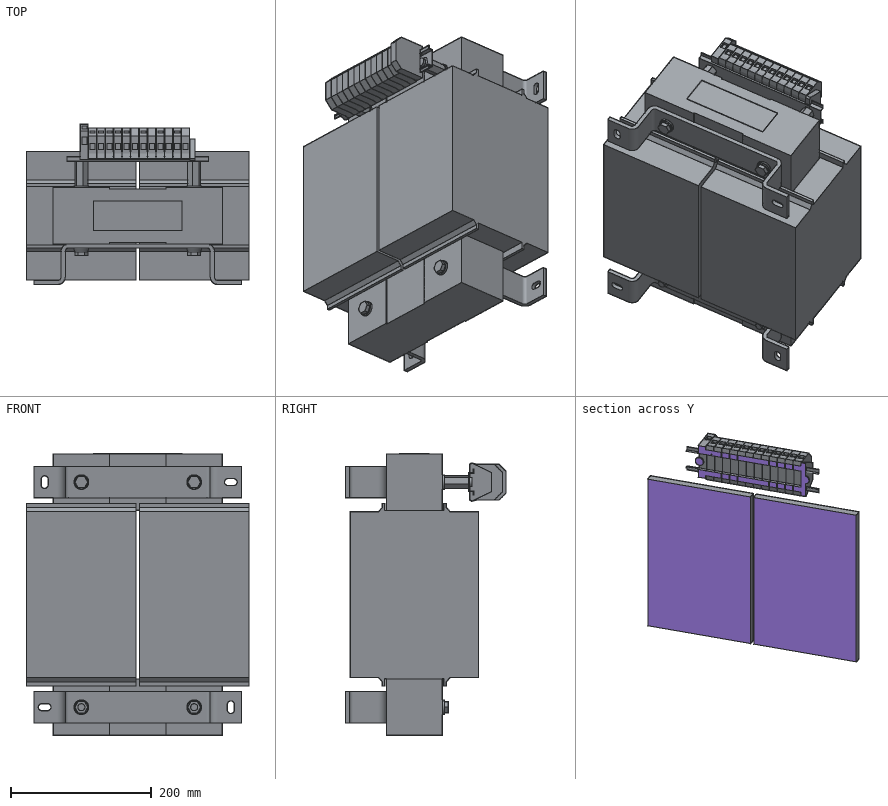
import cadquery as cq


core_width = 240.0
core_height = 399.2
core_depth = 79.5
yoke_height = 80.0
limb_width = 80.0
cover_thickness = 1.8
core_face = core_depth / 2
core_middle = core_height / 2
yoke_middles = {"bottom": yoke_height / 2, "top": core_height - yoke_height / 2}

label_width = 125.0
label_depth = 41.5
label_thickness = 1.0

coils_width = 316.0
coil_gap = 4.5
coil_depth = 182.5
coil_height = 235.2
rim_height = 259.2
rim_inner = 41.5
rim_outer = 45.5
rim_foot = 51.0
rim_bend_height = 247.2

bracket_height = 45.0
bracket_thickness = 6.0
bracket_width = 295.0
bracket_leg_width = 205.5
bracket_front = -97.5
bend_inside = 5.0
bend_outside = bend_inside + bracket_thickness
slot_spacing = 264.0
slot_length = 17.5
slot_width = 9.5

screw_spacing = 160.0
washer_diameter = 21.0
washer_thickness = 3.0
lock_washer_diameter = 19.2
lock_washer_thickness = 2.5
hex_corner_diameter = 18.5
standoff_corner_diameter = 19.2
head_height = 5.5
stud_diameter = 10.0
stud_projection = 6.0

standoff_turn = 15.0
rail_length = 200.0
rail_back = 84.5
rail_front = 77.0
rail_gauge = 1.2
rail_web_height = 27.2
rail_flange_height = 37.0
rail_screw_diameter = 13.0
rail_screw_height = 3.5

terminal_count = 12
terminal_pitch = 12.0
terminal_start = -70.0
terminal_half_height = 25.5
terminal_gap = 0.5
terminal_front = 80.0
terminal_back = 125.0
terminal_back_chamfer = 11.5
terminal_ridge = 81.2
terminal_ridge_rise = 1.8
terminal_ridge_foot = 88.0
terminal_shoulder_height = 19.5
labelled_terminals = (0, 1, 2, 3, 4, 6, 8, 10)

end_block_width = 11.5
end_block_back = 130.0
end_block_chamfer = 10.0

clamp_width = 7.2
clamp_back = 109.2
clamp_back_half_height = 13.5
clamp_peak = 81.2
clamp_peak_half_height = 27.2
clamp_front = 78.5
clamp_front_half_height = 25.5

opening_margin = 2.5
opening_width = 7.2
opening_length = 9.0
opening_middle = 98.5
marker_length = 3.2
marker_middle = 119.0
end_opening_length = 10.0
end_opening_middle = 106.5
end_marker_length = 4.5
end_marker_middle = 125.2
recess_depth = 4.0


def box(x_range, y_range, z_range):
    """Box between pairs of limits."""
    sizes = [high - low for low, high in (x_range, y_range, z_range)]
    corner = (x_range[0], y_range[0], z_range[0])
    return cq.Workplane("XY").box(*sizes, centered=False).translate(corner)


def prism_along_x(points, x_start, length):
    """Closed (Y, Z) outline extruded towards +X."""
    return cq.Workplane("YZ", origin=(x_start, 0, 0)).polyline(points).close().extrude(length)


def mirrored_outline(upper_points, z_middle):
    """Outline from (Y, height) points and their reflection below z_middle."""
    upper = [(y, z_middle + height) for y, height in upper_points]
    lower = [(y, z_middle - height) for y, height in reversed(upper_points)]
    return upper + lower


def cylinder_along_y(diameter, x, z, y_start, y_end):
    plane = cq.Plane(origin=(x, y_start, z), xDir=(1, 0, 0), normal=(0, 1, 0))
    return cq.Workplane(plane).circle(diameter / 2).extrude(y_end - y_start)


def hexagon_along_y(corner_diameter, x, z, y_start, y_end, turn=0.0):
    hexagon = (
        cq.Workplane("XZ")
        .polygon(6, corner_diameter)
        .extrude(-(y_end - y_start))
        .rotate((0, 0, 0), (0, 1, 0), turn)
    )
    return hexagon.translate((x, y_start, z))


def make_core():
    half_width = core_width / 2
    laminations = core_face - cover_thickness
    window = (-half_width + limb_width, half_width - limb_width)
    core = box((-half_width, half_width), (-laminations, laminations), (0, core_height))
    for side in (-1, 1):
        limb = sorted((side * half_width, side * (half_width - limb_width)))
        core = core.union(box(limb, (-core_face, core_face), (0, core_height)))
    core = core.cut(box(window, (-core_depth, core_depth), (yoke_height, core_height - yoke_height)))
    label = box(
        (-label_width / 2, label_width / 2),
        (-label_depth / 2, label_depth / 2),
        (core_height, core_height + label_thickness),
    )
    return core.union(label)


def make_coils():
    channel_floor = core_middle - yoke_height
    right_half = [
        (rim_inner, channel_floor),
        (rim_inner, rim_height / 2),
        (rim_outer, rim_height / 2),
        (rim_outer, rim_bend_height / 2),
        (rim_foot, coil_height / 2),
        (coil_depth / 2, coil_height / 2),
    ]
    left_half = [(-y, height) for y, height in reversed(right_half)]
    outline = mirrored_outline(left_half + right_half, core_middle)
    coil_width = (coils_width - coil_gap) / 2
    left = prism_along_x(outline, -coils_width / 2, coil_width)
    return left.union(prism_along_x(outline, coil_gap / 2, coil_width))


def make_bracket(z_middle, upright_slot_side):
    web_back = -core_face
    web_front = web_back - bracket_thickness
    foot_back = bracket_front + bracket_thickness
    leg_inner = bracket_leg_width / 2
    leg_outer = leg_inner + bracket_thickness
    foot_end = bracket_width / 2
    z_bottom = z_middle - bracket_height / 2
    z_range = (z_bottom, z_bottom + bracket_height)

    bracket = box((-leg_outer, leg_outer), (web_front, web_back), z_range)
    for side in (-1, 1):
        leg = sorted((side * leg_inner, side * leg_outer))
        foot = sorted((side * leg_inner, side * foot_end))
        bracket = bracket.union(box(leg, (bracket_front, web_back), z_range))
        bracket = bracket.union(box(foot, (bracket_front, foot_back), z_range))

    def bend_edges(x, y):
        """Selects the two upright edges at X = x and X = -x."""
        reach = 0.05
        selector = None
        for side in (-1, 1):
            near = (side * x - reach, y - reach, z_range[0] - reach)
            far = (side * x + reach, y + reach, z_range[1] + reach)
            picked = cq.selectors.BoxSelector(near, far, boundingbox=True)
            selector = picked if selector is None else selector + picked
        return selector

    bracket = bracket.edges(bend_edges(leg_outer, web_back)).fillet(bend_outside)
    bracket = bracket.edges(bend_edges(leg_inner, bracket_front)).fillet(bend_outside)
    bracket = bracket.edges(bend_edges(leg_inner, web_front)).fillet(bend_inside)
    bracket = bracket.edges(bend_edges(leg_outer, foot_back)).fillet(bend_inside)

    for side in (-1, 1):
        angle = 90 if side == upright_slot_side else 0
        slot = (
            cq.Workplane("XZ", origin=(side * slot_spacing / 2, foot_back, z_middle))
            .slot2D(slot_length, slot_width, angle)
            .extrude(bracket_thickness)
        )
        bracket = bracket.cut(slot)
    return bracket


def make_front_fastener(side, z, with_stud):
    """Two washers and a hexagon against a bracket; a stud end shows where the hexagon is a nut."""
    x = side * screw_spacing / 2
    seat = -core_face - bracket_thickness
    washer_face = seat - washer_thickness
    lock_face = washer_face - lock_washer_thickness
    head_face = lock_face - head_height
    fastener = cylinder_along_y(washer_diameter, x, z, washer_face, seat)
    fastener = fastener.union(cylinder_along_y(lock_washer_diameter, x, z, lock_face, washer_face))
    fastener = fastener.union(hexagon_along_y(hex_corner_diameter, x, z, head_face, lock_face))
    if with_stud:
        stud_end = head_face - stud_projection
        fastener = fastener.union(cylinder_along_y(stud_diameter, x, z, stud_end, head_face))
    return fastener


def make_rear_fastener(side, z, corner_diameter, hexagon_end, turn=0.0):
    """Washer and hexagon against the rear face of the core."""
    x = side * screw_spacing / 2
    washer_face = core_face + washer_thickness
    washer = cylinder_along_y(washer_diameter, x, z, core_face, washer_face)
    return washer.union(hexagon_along_y(corner_diameter, x, z, washer_face, hexagon_end, turn))


def make_rail(z):
    web = rail_web_height / 2
    flange = rail_flange_height / 2
    outline = mirrored_outline(
        [
            (rail_front + rail_gauge, web - rail_gauge),
            (rail_back, web - rail_gauge),
            (rail_back, flange),
            (rail_back - rail_gauge, flange),
            (rail_back - rail_gauge, web),
            (rail_front, web),
        ],
        z,
    )
    rail = prism_along_x(outline, -rail_length / 2, rail_length)
    screw_seat = rail_front + rail_gauge
    for side in (-1, 1):
        x = side * screw_spacing / 2
        head = cylinder_along_y(rail_screw_diameter, x, z, screw_seat, screw_seat + rail_screw_height)
        rail = rail.union(head)
    return rail


def recess(x_cell, y_middle, length, z_floor):
    """Rectangular pocket, open upwards, in the terminal that starts at x_cell."""
    x_start = x_cell + opening_margin
    return box(
        (x_start, x_start + opening_width),
        (y_middle - length / 2, y_middle + length / 2),
        (z_floor, core_height),
    )


def rail_notch():
    """(Y, height) corners of the upper half of the notch that clears the inside of the rail."""
    web = rail_web_height / 2
    return [(rail_back, web), (terminal_front, web)]


def make_terminal(x, z, labelled):
    top = terminal_half_height
    outline = mirrored_outline(
        [
            *rail_notch(),
            (terminal_front, terminal_shoulder_height),
            (terminal_ridge, top + terminal_ridge_rise),
            (terminal_ridge_foot, top),
            (terminal_back - terminal_back_chamfer, top),
            (terminal_back, top - terminal_back_chamfer),
        ],
        z,
    )
    terminal = prism_along_x(outline, x, terminal_pitch - terminal_gap)
    floor = z + top - recess_depth
    terminal = terminal.cut(recess(x, opening_middle, opening_length, floor))
    if labelled:
        chamfer_drop = marker_middle - (terminal_back - terminal_back_chamfer)
        terminal = terminal.cut(recess(x, marker_middle, marker_length, floor - chamfer_drop))
    return terminal


def make_end_block(z):
    x = terminal_start - end_block_width
    top = terminal_half_height
    chamfer_start = end_block_back - end_block_chamfer
    outline = mirrored_outline(
        [
            *rail_notch(),
            (terminal_front, top),
            (chamfer_start, top),
            (end_block_back, top - end_block_chamfer),
        ],
        z,
    )
    block = prism_along_x(outline, x, end_block_width - terminal_gap)
    floor = z + top - recess_depth
    block = block.cut(recess(x, end_opening_middle, end_opening_length, floor))
    chamfer_drop = end_marker_middle - chamfer_start
    return block.cut(recess(x, end_marker_middle, end_marker_length, floor - chamfer_drop))


def make_end_clamp(z):
    outline = mirrored_outline(
        [
            (clamp_front, clamp_front_half_height),
            (clamp_peak, clamp_peak_half_height),
            (clamp_back, clamp_back_half_height),
        ],
        z,
    )
    return prism_along_x(outline, terminal_start + terminal_count * terminal_pitch, clamp_width)


rail_z = yoke_middles["top"]
result = make_core().union(make_coils())
result = result.union(make_bracket(yoke_middles["top"], upright_slot_side=-1))
result = result.union(make_bracket(yoke_middles["bottom"], upright_slot_side=1))

rear_head_end = core_face + washer_thickness + head_height
for side in (-1, 1):
    for level, z in yoke_middles.items():
        result = result.union(make_front_fastener(side, z, with_stud=level == "bottom"))
    standoff = make_rear_fastener(side, rail_z, standoff_corner_diameter, rail_front, side * standoff_turn)
    head = make_rear_fastener(side, yoke_middles["bottom"], hex_corner_diameter, rear_head_end)
    result = result.union(standoff).union(head)

result = result.union(make_rail(rail_z))
result = result.union(make_end_block(rail_z))
for index in range(terminal_count):
    terminal_x = terminal_start + index * terminal_pitch
    result = result.union(make_terminal(terminal_x, rail_z, index in labelled_terminals))
result = result.union(make_end_clamp(rail_z))